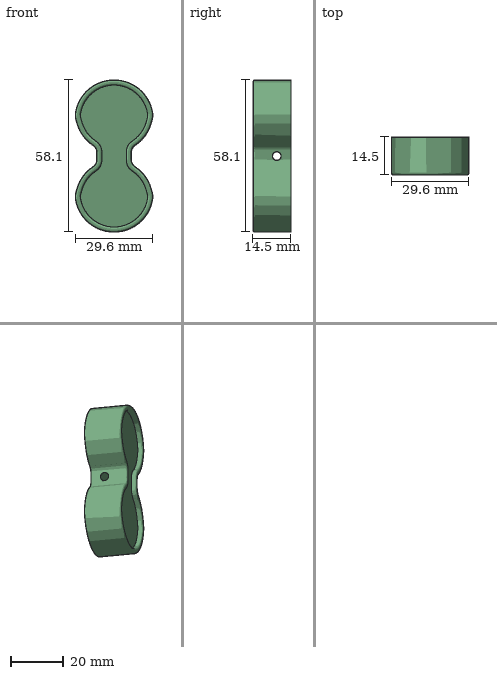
import math

import cadquery as cq

half_length = 29.05
half_width = 14.8
depth = 14.5

crown_center_z = 14.1
crown_radius = half_length - crown_center_z
shoulder_radius = 5.8
flank_center_z = 16.4
flank_radius = 14.7
neck_half_width = 6.6
neck_radius = 3.1

rim_width = 2.0
recess_depth = 2.0
rim_fillet = 0.8

hole_diameter = 3.2
hole_from_back = 5.45


def polar(center, radius, angle):
    """Point on a circle, with the angle in radians from +X towards +Z."""
    return (center[0] + radius * math.cos(angle), center[1] + radius * math.sin(angle))


def lobe_points():
    """Points of the +X, +Z quarter of the outline, from the neck up to the top."""
    crown = (0, crown_center_z)
    flank = (0, flank_center_z)

    shoulder_x = half_width - shoulder_radius
    shoulder_rise = math.sqrt((crown_radius - shoulder_radius) ** 2 - shoulder_x ** 2)
    shoulder = (shoulder_x, crown_center_z + shoulder_rise)
    crown_angle = math.atan2(shoulder_rise, shoulder_x)

    center_offset = (shoulder[0] - flank[0], shoulder[1] - flank[1])
    center_distance = math.hypot(*center_offset)
    line_angle = math.atan2(center_offset[1], center_offset[0]) - math.acos(
        (flank_radius - shoulder_radius) / center_distance
    )

    blend_x = neck_half_width + neck_radius
    blend_drop = math.sqrt((flank_radius + neck_radius) ** 2 - blend_x ** 2)
    blend = (blend_x, flank_center_z - blend_drop)
    flank_angle = math.atan2(-blend_drop, blend_x)
    blend_end_angle = flank_angle + math.pi

    return [
        (neck_half_width, blend[1]),
        polar(blend, neck_radius, (math.pi + blend_end_angle) / 2),
        polar(flank, flank_radius, flank_angle),
        polar(flank, flank_radius, (flank_angle + line_angle) / 2),
        polar(flank, flank_radius, line_angle),
        polar(shoulder, shoulder_radius, line_angle),
        polar(shoulder, shoulder_radius, (line_angle + crown_angle) / 2),
        polar(crown, crown_radius, crown_angle),
        (0, half_length),
    ]


def figure_eight(workplane):
    """Closed outline: neck sides joining an upper and a mirrored lower lobe."""
    right = lobe_points()
    left = [(-x, z) for x, z in reversed(right[:-1])]
    upper = right + left
    lower = [(-x, -z) for x, z in upper]
    outline = workplane.moveTo(*upper[0])
    for lobe in (upper, lower):
        (neck_start, blend_mid, flank_start, flank_mid, flank_end,
         shoulder_start, shoulder_mid, crown_start, top,
         crown_end, far_shoulder_mid, far_shoulder_end,
         far_flank_start, far_flank_mid, far_flank_end, far_blend_mid, neck_end) = lobe
        if lobe is lower:
            outline = outline.lineTo(*neck_start)
        outline = (
            outline.threePointArc(blend_mid, flank_start)
            .threePointArc(flank_mid, flank_end)
            .lineTo(*shoulder_start)
            .threePointArc(shoulder_mid, crown_start)
            .threePointArc(top, crown_end)
            .threePointArc(far_shoulder_mid, far_shoulder_end)
            .lineTo(*far_flank_start)
            .threePointArc(far_flank_mid, far_flank_end)
            .threePointArc(far_blend_mid, neck_end)
        )
    return outline.close()


back_plane = cq.Workplane("XZ", origin=(0, depth / 2, 0))
recess_plane = cq.Workplane("XZ", origin=(0, recess_depth - depth / 2, 0))

body = figure_eight(back_plane).extrude(depth)
recess = figure_eight(recess_plane).offset2D(-rim_width).extrude(recess_depth)

rimmed_body = body.cut(recess).faces("<Y").edges().fillet(rim_fillet)

hole = (
    cq.Workplane("YZ", origin=(-half_width, depth / 2 - hole_from_back, 0))
    .circle(hole_diameter / 2)
    .extrude(2 * half_width)
)

result = rimmed_body.cut(hole)